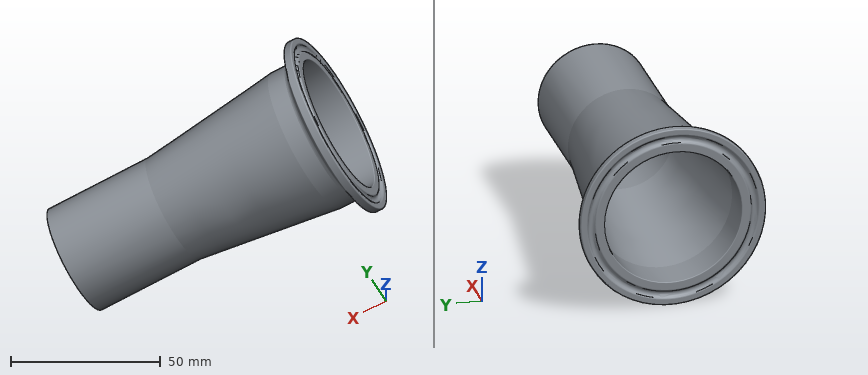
import cadquery as cq
import math

total_length = 101.6
taper_start = 12.7
taper_end = 63.5

inlet_radius = 50.8 / 2
inlet_bore_radius = 47.5 / 2
outlet_radius = 38.1 / 2
outlet_bore_radius = 34.7 / 2
bore_edge_radius = 0.3

flange_radius = 63.9 / 2
rim_width = 2.8
rim_edge_radius = 0.4
flange_back_angle = 20.0
flange_root_radius = 1.5

groove_center_radius = 28.2
groove_half_width = 1.3
groove_depth = 1.1
groove_lip_radius = 0.6


def circle_edges_at(solid, x, radius):
    """Circular edges of the given radius lying in the plane at x."""
    tolerance = 0.01

    def matches(edge):
        return abs(edge.Center().x - x) < tolerance and abs(edge.radius() - radius) < tolerance

    return solid.edges("%CIRCLE").filter(matches)


def outer_body():
    """Flange, inlet collar, taper and outlet tube as one solid of revolution."""
    back_slope = math.tan(math.radians(flange_back_angle))
    flange_root = rim_width + (flange_radius - inlet_radius) * back_slope
    body = (
        cq.Workplane("XY")
        .moveTo(0, 0)
        .lineTo(0, flange_radius)
        .lineTo(rim_width, flange_radius)
        .lineTo(flange_root, inlet_radius)
        .lineTo(taper_start, inlet_radius)
        .lineTo(taper_end, outlet_radius)
        .lineTo(total_length, outlet_radius)
        .lineTo(total_length, 0)
        .close()
        .revolve(360, (0, 0, 0), (1, 0, 0))
    )
    body = circle_edges_at(body, flange_root, inlet_radius).fillet(flange_root_radius)
    for rim_edge in (0, rim_width):
        body = circle_edges_at(body, rim_edge, flange_radius).fillet(rim_edge_radius)
    return body


def bore():
    """Through bore that narrows along the taper."""
    return (
        cq.Workplane("XY")
        .moveTo(0, 0)
        .lineTo(0, inlet_bore_radius)
        .lineTo(taper_start, inlet_bore_radius)
        .lineTo(taper_end, outlet_bore_radius)
        .lineTo(total_length, outlet_bore_radius)
        .lineTo(total_length, 0)
        .close()
        .revolve(360, (0, 0, 0), (1, 0, 0))
    )


def gasket_groove():
    """Ring with a round bottom, cut into the flange face."""
    return (
        cq.Workplane("XY")
        .moveTo(0, groove_center_radius - groove_half_width)
        .threePointArc(
            (groove_depth, groove_center_radius),
            (0, groove_center_radius + groove_half_width),
        )
        .close()
        .revolve(360, (0, 0, 0), (1, 0, 0))
    )


def round_groove_lips(solid):
    """Round both edges where the groove meets the flange face."""
    for side in (-1, 1):
        lip_radius = groove_center_radius + side * groove_half_width
        solid = circle_edges_at(solid, 0, lip_radius).fillet(groove_lip_radius)
    return solid


result = outer_body().cut(bore()).cut(gasket_groove())
result = round_groove_lips(result)
result = circle_edges_at(result, 0, inlet_bore_radius).fillet(bore_edge_radius)